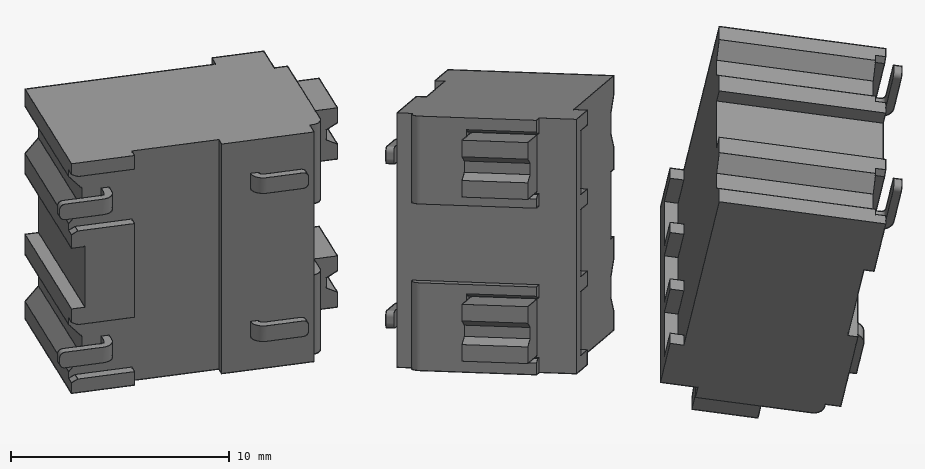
import cadquery as cq


height = 11.82
housing_left = 0.64
housing_right = 8.38
housing_back = 11.54
half_height = height / 2

pitch = 7.62
position_levels = (-pitch / 2, pitch / 2)

groove_depth = 0.64
groove_mouth_half = 1.21
groove_floor_half = 0.5
middle_recess_half = 1.56

notch_floor_x = 7.91
notch_front = 3.0
notch_back = 7.14

opening_half = 1.4
opening_mouth_half = 1.55
flare_length = 0.3

flange_bar_length = 1.0
flange_tooth_length = 2.47
flange_tooth_height = 0.69

pad_left = 1.74
pad_right = 7.66
pad_thickness = 0.63
pad_corner_radius = 0.5
pad_inner_level = 1.83

tongue_left = 1.84
tongue_right = 4.91
tongue_half = 1.32
tongue_back = 13.64
fork_depth = 0.53
fork_mouth_half = 0.55
fork_floor_half = 0.26
pad_opening_right = tongue_right + (tongue_left - pad_left)

pin_outer_x = 9.0
pin_thickness = 0.38
pin_width = 0.8
pin_bend_radius = 0.6
pin_tip_radius = 0.26
pin_embed = 0.5
front_pin_bend_y = 1.92
front_pin_tip_y = -0.74
back_pin_bend_y = 8.51
back_pin_tip_y = 11.1


def box(x_range, y_range, z_range):
    """Axis-aligned box between the given limits."""
    sizes = [limits[1] - limits[0] for limits in (x_range, y_range, z_range)]
    corner = (x_range[0], y_range[0], z_range[0])
    return cq.Workplane("XY").box(*sizes, centered=False).translate(corner)


def side_prism(points, left, right):
    """Y-Z outline extruded along X."""
    return cq.Workplane("YZ").workplane(offset=left).polyline(points).close().extrude(right - left)


def front_groove(level):
    """Flat-bottomed V groove running across the front face."""
    points = [
        (0, level - groove_mouth_half),
        (groove_depth, level - groove_floor_half),
        (groove_depth, level + groove_floor_half),
        (0, level + groove_mouth_half),
    ]
    return side_prism(points, housing_left, housing_right)


def flared_opening(level, mouth_y, end_y, left, right):
    """Slot between mouth_y and end_y that widens towards its mouth."""
    inward = 1 if end_y > mouth_y else -1
    flare_y = mouth_y + inward * flare_length
    points = [
        (mouth_y, level - opening_mouth_half),
        (flare_y, level - opening_half),
        (end_y, level - opening_half),
        (end_y, level + opening_half),
        (flare_y, level + opening_half),
        (mouth_y, level + opening_mouth_half),
    ]
    return side_prism(points, left, right)


def housing():
    """Block with front grooves, side notch and contact openings in the right side."""
    body = box((housing_left, housing_right), (0, housing_back), (-half_height, half_height))
    body = body.cut(
        box(
            (housing_left, housing_right),
            (0, groove_depth),
            (-middle_recess_half, middle_recess_half),
        )
    )
    body = body.cut(
        box((notch_floor_x, housing_right), (notch_front, notch_back), (-half_height, half_height))
    )
    for level in position_levels:
        body = body.cut(front_groove(level))
        body = body.cut(flared_opening(level, 0, notch_front, notch_floor_x, housing_right))
    return body


def comb_flange():
    """Upright bar along the back edge with four teeth pointing forward."""
    bar_front = housing_back - flange_bar_length
    tooth_front = housing_back - flange_tooth_length
    flange = box((0, housing_left), (bar_front, housing_back), (-half_height, half_height))
    tooth_bottoms = (
        -half_height,
        -middle_recess_half - flange_tooth_height,
        middle_recess_half,
        half_height - flange_tooth_height,
    )
    for bottom in tooth_bottoms:
        flange = flange.union(
            box((0, housing_left), (tooth_front, bar_front), (bottom, bottom + flange_tooth_height))
        )
    return flange


def back_pad(level):
    """Raised pad with a rounded right corner and a flared opening from its left side."""
    pad_back = housing_back + pad_thickness
    bottom, top = (pad_inner_level, half_height) if level > 0 else (-half_height, -pad_inner_level)
    pad = box((pad_left, pad_right), (housing_back, pad_back), (bottom, top))
    pad = pad.edges("|Z and >X and >Y").fillet(pad_corner_radius)
    return pad.cut(flared_opening(level, pad_back, housing_back, pad_left, pad_opening_right))


def tongue(level):
    """Tongue standing out of the back face, with a tapered notch in its end."""
    fork_floor = tongue_back - fork_depth
    points = [
        (housing_back, level - tongue_half),
        (tongue_back, level - tongue_half),
        (tongue_back, level - fork_mouth_half),
        (fork_floor, level - fork_floor_half),
        (fork_floor, level + fork_floor_half),
        (tongue_back, level + fork_mouth_half),
        (tongue_back, level + tongue_half),
        (housing_back, level + tongue_half),
    ]
    return side_prism(points, tongue_left, tongue_right)


def pin(level, bend_y, tip_y):
    """L-shaped pin leaving the housing along X and bending along Y to a rounded tip."""
    forward = 1 if tip_y > bend_y else -1
    root_x = notch_floor_x - pin_embed
    inner_x = pin_outer_x - pin_thickness
    inner_y = bend_y + forward * pin_thickness
    blank = (
        cq.Workplane("XY")
        .workplane(offset=level - pin_width / 2)
        .moveTo(root_x, bend_y)
        .lineTo(pin_outer_x, bend_y)
        .lineTo(pin_outer_x, tip_y)
        .lineTo(inner_x, tip_y)
        .lineTo(inner_x, inner_y)
        .lineTo(root_x, inner_y)
        .close()
        .extrude(pin_width)
    )
    bend_side, tip_side = ("<Y", ">Y") if forward > 0 else (">Y", "<Y")
    inner_edge = cq.selectors.NearestToPointSelector((inner_x, inner_y, level))
    return (
        blank.edges(inner_edge)
        .fillet(pin_bend_radius - pin_thickness)
        .edges("|Z and >X")
        .edges(bend_side)
        .fillet(pin_bend_radius)
        .faces(tip_side)
        .edges("|X")
        .fillet(pin_tip_radius)
    )


result = housing().union(comb_flange())
for position in position_levels:
    result = result.union(back_pad(position)).union(tongue(position))
    result = result.union(pin(position, front_pin_bend_y, front_pin_tip_y))
    result = result.union(pin(position, back_pin_bend_y, back_pin_tip_y))